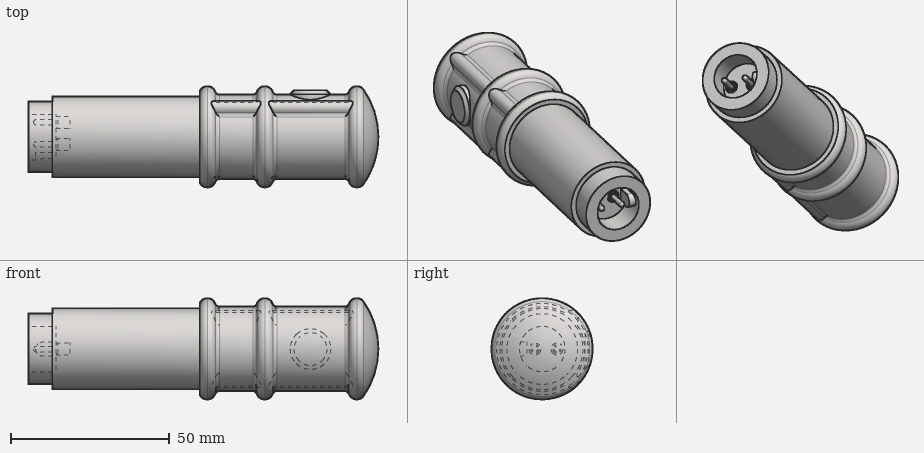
import cadquery as cq
import math

total_length = 110.4
nose_length = 7.5
nose_radius = 11.2
shank_radius = 12.8
grip_radius = 13.4

bead_radius = 2.7
bead_fillet = 1.3
crest_radius = grip_radius + bead_radius
ring_positions = (56.4, 74.5, 103.6)
first_ring_face_offset = 2.4
first_ring_face = ring_positions[0] - first_ring_face_offset
dome_offset = 2.1
dome_start = ring_positions[-1] + dome_offset
dome_base_radius = grip_radius + math.sqrt(bead_radius**2 - dome_offset**2)
dome_height = total_length - dome_start
dome_radius = (dome_base_radius**2 + dome_height**2) / (2 * dome_height)

rib_radius = 2.3
rib_fillet = 1.4
rib_angle = 47.5

button_position = 88.9
button_top = 14.7
button_top_radius = 5.2
button_radius = 6.4
button_rim_height = 1.2
button_base = 11.0

bore_radius = 7.2
bore_depth = 8.6
key_inner_face = 4.9
key_radius = 2.2
key_front = 2.2

pin_positions = (4.6, -2.3)
pin_radius = 0.9
pin_tip = 1.5
pin_body_radius = 1.9
pin_body_length = 4.4
shoulder_radius = 1.3
shoulder_length = pin_body_radius - shoulder_radius


def x_cylinder(start, end, radius):
    return cq.Workplane("YZ", origin=(start, 0, 0)).circle(radius).extrude(end - start)


def add_grip_section(profile, start_ring, end_ring):
    """Draw from one ring's crest to the next: bead, fillet, grip, fillet and bead."""
    hollow_reach = bead_radius + bead_fillet
    reach = math.sqrt(hollow_reach**2 - bead_fillet**2)
    lean = math.atan2(bead_fillet, reach)
    touch_x = bead_radius * math.cos(lean)
    touch_radius = grip_radius + bead_radius * math.sin(lean)
    bead_mid_angle = (lean + math.pi / 2) / 2
    bead_mid_x = bead_radius * math.cos(bead_mid_angle)
    bead_mid_radius = grip_radius + bead_radius * math.sin(bead_mid_angle)
    foot_mid_angle = (math.pi + lean + 3 * math.pi / 2) / 2
    foot_mid_x = reach + bead_fillet * math.cos(foot_mid_angle)
    foot_mid_radius = grip_radius + bead_fillet * (1 + math.sin(foot_mid_angle))
    return (
        profile.threePointArc(
            (start_ring + bead_mid_x, bead_mid_radius), (start_ring + touch_x, touch_radius)
        )
        .threePointArc((start_ring + foot_mid_x, foot_mid_radius), (start_ring + reach, grip_radius))
        .lineTo(end_ring - reach, grip_radius)
        .threePointArc((end_ring - foot_mid_x, foot_mid_radius), (end_ring - touch_x, touch_radius))
        .threePointArc((end_ring - bead_mid_x, bead_mid_radius), (end_ring, crest_radius))
    )


def bead_surface_radius(offset):
    """Distance from the X axis to a ring's bead, at an offset along X from its crest."""
    return grip_radius + math.sqrt(bead_radius**2 - offset**2)


def make_core():
    """Nose, shank, ringed grip and domed end as one turned profile."""
    dome_mid_radius = dome_base_radius / 2
    dome_mid_x = total_length - dome_radius + math.sqrt(dome_radius**2 - dome_mid_radius**2)
    face_mid_x = first_ring_face_offset / 2
    face_mid_radius = bead_surface_radius(face_mid_x)
    bead_end_mid_x = dome_offset / 2
    bead_end_mid_radius = bead_surface_radius(bead_end_mid_x)
    profile = (
        cq.Workplane("XY")
        .lineTo(0, nose_radius)
        .lineTo(nose_length, nose_radius)
        .lineTo(nose_length, shank_radius)
        .lineTo(first_ring_face, shank_radius)
        .lineTo(first_ring_face, bead_surface_radius(first_ring_face_offset))
        .threePointArc((ring_positions[0] - face_mid_x, face_mid_radius), (ring_positions[0], crest_radius))
    )
    for start_ring, end_ring in zip(ring_positions, ring_positions[1:]):
        profile = add_grip_section(profile, start_ring, end_ring)
    return (
        profile.threePointArc(
            (ring_positions[-1] + bead_end_mid_x, bead_end_mid_radius), (dome_start, dome_base_radius)
        )
        .threePointArc((dome_mid_x, dome_mid_radius), (total_length, 0))
        .close()
        .revolve(360, (0, 0, 0), (1, 0, 0))
        .rotate((0, 0, 0), (1, 0, 0), 180)
    )


def make_rib(side):
    """Straight bead along the grip, with a concave fillet at both of its feet."""
    start = ring_positions[0]
    length = ring_positions[-1] - start
    hollow_distance = grip_radius + rib_fillet
    hollow_reach = rib_radius + rib_fillet
    spread = math.acos(
        (grip_radius**2 + hollow_distance**2 - hollow_reach**2) / (2 * grip_radius * hollow_distance)
    )
    blend = rib_radius / hollow_reach
    end_along = grip_radius * math.cos(spread)
    end_across = grip_radius * math.sin(spread)
    touch_along = grip_radius + (hollow_distance * math.cos(spread) - grip_radius) * blend
    touch_across = hollow_distance * math.sin(spread) * blend
    base_along = grip_radius - rib_radius
    plane = cq.Workplane("YZ", origin=(start, 0, 0))
    rib = plane.center(grip_radius, 0).circle(rib_radius).extrude(length)
    feet = (
        plane.moveTo(base_along, -end_across)
        .lineTo(end_along, -end_across)
        .lineTo(touch_along, -touch_across)
        .lineTo(touch_along, touch_across)
        .lineTo(end_along, end_across)
        .lineTo(base_along, end_across)
        .close()
        .extrude(length)
    )
    hollows = (
        plane.pushPoints(
            [
                (hollow_distance * math.cos(spread), sign * hollow_distance * math.sin(spread))
                for sign in (1, -1)
            ]
        )
        .circle(rib_fillet)
        .extrude(length)
    )
    return rib.union(feet.cut(hollows)).rotate((0, 0, 0), (1, 0, 0), side * rib_angle)


def make_button():
    """Round button with a chamfered rim, whose flat top faces +Y."""
    return (
        cq.Workplane("XZ", origin=(button_position, button_top, 0))
        .circle(button_radius)
        .extrude(button_top - button_base)
        .faces(">Y")
        .chamfer(button_rim_height, button_radius - button_top_radius)
    )


def make_key():
    """Polarising key on the -Y wall of the socket, with a rounded front end."""
    outer_face = (bore_radius + nose_radius) / 2
    round_centre = key_front + key_radius
    return (
        cq.Workplane("XZ", origin=(0, -key_inner_face, 0))
        .moveTo(bore_depth, -key_radius)
        .lineTo(round_centre, -key_radius)
        .threePointArc((key_front, 0), (round_centre, key_radius))
        .lineTo(bore_depth, key_radius)
        .close()
        .extrude(outer_face - key_inner_face)
    )


def make_pin_seat(y):
    """Blind hole in the socket floor that holds the body of one pin."""
    return x_cylinder(bore_depth, bore_depth + pin_body_length, pin_body_radius).translate((0, y, 0))


def make_handle():
    handle = make_core()
    for side in (1, -1):
        handle = handle.union(make_rib(side))
    handle = handle.union(make_button())
    handle = handle.cut(x_cylinder(0, bore_depth, bore_radius)).union(make_key())
    for y in pin_positions:
        handle = handle.cut(make_pin_seat(y))
    return handle


def make_pin(y):
    """Round-tipped contact with a conical shoulder and a thicker seated body."""
    tip_centre = pin_tip + pin_radius
    diagonal = pin_radius * math.sqrt(0.5)
    pin = (
        cq.Workplane("XY")
        .moveTo(pin_tip, 0)
        .threePointArc((tip_centre - diagonal, diagonal), (tip_centre, pin_radius))
        .lineTo(bore_depth, pin_radius)
        .lineTo(bore_depth, shoulder_radius)
        .lineTo(bore_depth + shoulder_length, pin_body_radius)
        .lineTo(bore_depth + pin_body_length, pin_body_radius)
        .lineTo(bore_depth + pin_body_length, 0)
        .close()
        .revolve(360, (0, 0, 0), (1, 0, 0))
    )
    return pin.translate((0, y, 0))


handle = make_handle()
pins = [make_pin(y) for y in pin_positions]
result = cq.Compound.makeCompound([handle.val(), *[pin.val() for pin in pins]])